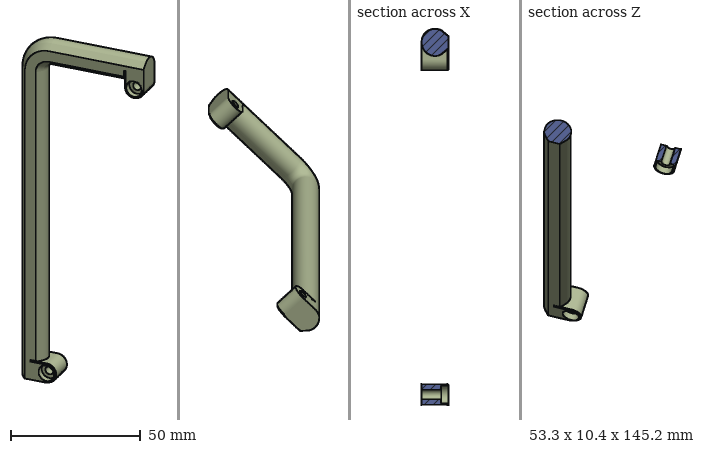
import cadquery as cq

width = 53.3
height = 145.2

bar_radius = 5.2
flat_half_width = 2.3
bevel_half_width = 4.5
bevel_depth = 2.6
edge_break = 0.22
bend_radius = 8.0

lug_radius = 4.0
lug_offset = 12.0
lug_edge_chamfer = 0.5
hole_diameter = 3.3
counterbore_diameter = 6.5
counterbore_depth = 2.9
relief_depth = 0.5
relief_width = 0.6

front_y = -bar_radius
bevel_y = front_y + bevel_depth
bevel_slope = bevel_depth / (bevel_half_width - flat_half_width)


def make_bar():
    """Sweep the bar section up the long leg, round the bend and along the short leg."""
    diagonal = bend_radius * 0.5**0.5
    bend_x = bar_radius + bend_radius
    bend_z = height - bar_radius - bend_radius
    path = (
        cq.Workplane("XZ")
        .moveTo(bar_radius, 0)
        .lineTo(bar_radius, bend_z)
        .threePointArc((bend_x - diagonal, bend_z + diagonal), (bend_x, height - bar_radius))
        .lineTo(width, height - bar_radius)
    )
    section = (
        cq.Workplane("XY", origin=(bar_radius, 0, 0))
        .moveTo(-flat_half_width + edge_break / 2, front_y)
        .lineTo(flat_half_width, front_y)
        .lineTo(bevel_half_width, bevel_y)
        .threePointArc((0, bar_radius), (-bevel_half_width, bevel_y))
        .lineTo(-flat_half_width - edge_break, front_y + edge_break * bevel_slope)
        .close()
    )
    return section.sweep(path)


def make_lug():
    """Round-ended lug of the lower end, from the bar centre line to beyond the hole."""
    lug = (
        cq.Workplane("XZ", origin=(0, bar_radius, 0))
        .moveTo(bar_radius, 0)
        .lineTo(lug_offset, 0)
        .threePointArc((lug_offset + lug_radius, lug_radius), (lug_offset, 2 * lug_radius))
        .lineTo(bar_radius, 2 * lug_radius)
        .close()
        .extrude(2 * bar_radius)
    )
    lug = lug.faces("<Y").edges("%CIRCLE").chamfer(lug_edge_chamfer)
    sharp_side = cq.Workplane("XY", origin=(bar_radius, front_y, 0)).box(
        lug_offset - bar_radius, 2 * bar_radius, lug_radius, centered=False
    )
    return lug.union(sharp_side)


def make_relief():
    """Shallow groove in the bar front along the inner side of the lug."""
    return cq.Workplane("XY").box(
        lug_offset - bar_radius, relief_depth, relief_width, centered=False
    ).translate((bar_radius, front_y, 2 * lug_radius - lug_edge_chamfer))


def make_hole():
    """Counterbored through hole of the lug, entered from the front."""
    front = cq.Workplane("XZ", origin=(lug_offset, front_y, lug_radius))
    bore = front.circle(hole_diameter / 2).extrude(-2 * bar_radius)
    return bore.union(front.circle(counterbore_diameter / 2).extrude(-counterbore_depth))


def at_upper_end(body):
    """Move a lower-end body to the upper end, swapping along-bar and across-bar directions."""
    turned = body.rotate((0, 0, 0), (0, 1, 0), 90)
    return turned.mirror("YZ").translate((width, 0, height))


result = make_bar()
result = result.union(make_lug()).union(at_upper_end(make_lug()))
for cutter in (make_relief(), make_hole()):
    result = result.cut(cutter).cut(at_upper_end(cutter))